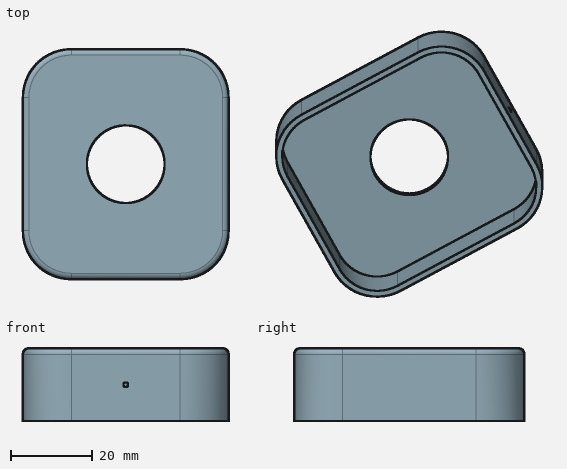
import cadquery as cq

length_x = 50.8
length_y = 56.8
height = 18.0
corner_radius = 12.0
top_edge_radius = 1.5

side_wall = 1.5
top_thickness = 2.0

window_diameter = 19.1
pin_hole_diameter = 1.2
pin_hole_height = height / 2


def rounded_block(size_x, size_y, size_z, vertical_radius):
    """Block standing on Z = 0 with rounded vertical corners."""
    block = cq.Workplane("XY").box(size_x, size_y, size_z, centered=(True, True, False))
    return block.edges("|Z").fillet(vertical_radius)


def outer_body():
    """Outside of the cover, with the rim of its top face rounded."""
    body = rounded_block(length_x, length_y, height, corner_radius)
    return body.faces(">Z").edges().fillet(top_edge_radius)


def cavity():
    """Space under the top plate, inside side walls of even thickness."""
    return rounded_block(
        length_x - 2 * side_wall,
        length_y - 2 * side_wall,
        height - top_thickness,
        corner_radius - side_wall,
    )


def window():
    """Round opening through the middle of the top plate."""
    return cq.Workplane("XY").circle(window_diameter / 2).extrude(height)


def pin_hole():
    """Small round hole through the -Y side wall, at mid height."""
    inner_wall_face_y = -length_y / 2 + side_wall
    inner_wall_face = cq.Workplane("XZ", origin=(0, inner_wall_face_y, pin_hole_height))
    return inner_wall_face.circle(pin_hole_diameter / 2).extrude(side_wall)


result = outer_body().cut(cavity()).cut(window()).cut(pin_hole())